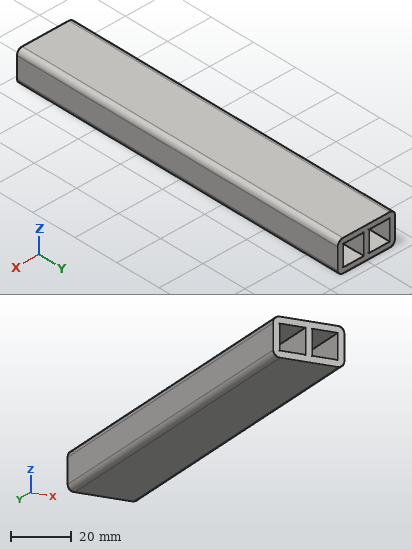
import cadquery as cq

length = 152.4
width = 26.2
height = 14.3

wall = 2.5
corner_radius = 2.5

channel_width = (width - 3 * wall) / 2
channel_height = height - 2 * wall
channel_spacing = channel_width + wall


def make_body():
    """Solid bar with its four long edges rounded."""
    bar = cq.Workplane("XY").box(width, length, height)
    return bar.edges("|Y").fillet(corner_radius)


def make_channels():
    """Two square-cornered channels that run the full length, side by side."""
    return (
        cq.Workplane("XY")
        .rarray(channel_spacing, 1.5, 2, 1)
        .box(channel_width, length, channel_height)
    )


result = make_body().cut(make_channels())